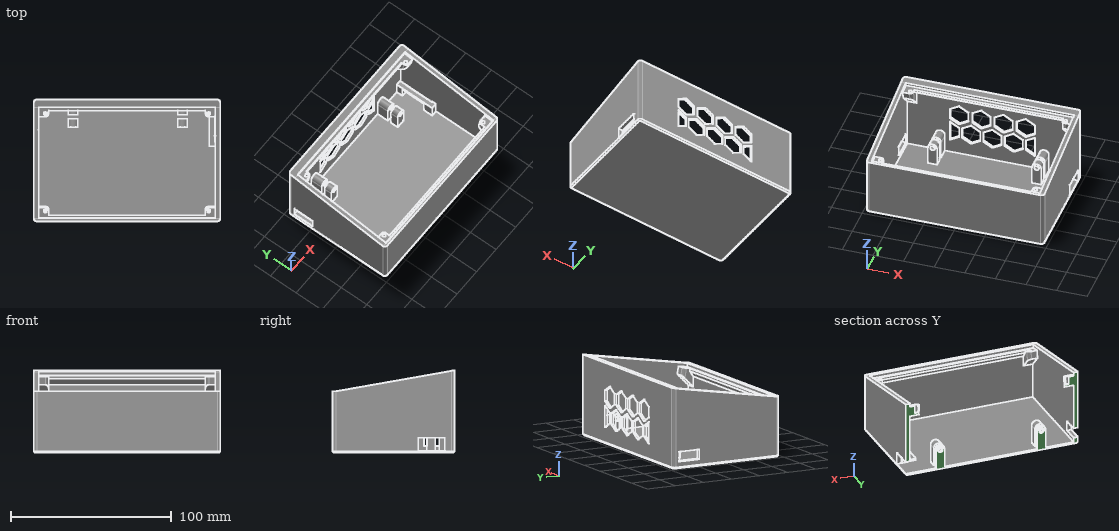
import cadquery as cq
import math


tilt = math.radians(10)
lid_length = 70
lid_depth = 2.2
recess_overcut = 1
front_rim = 2
back_rim = 5
side_wall = 3
end_wall = 1.5
lid_width = 110

width = lid_width + 2 * side_wall
depth = front_rim + lid_length * math.cos(tilt) + back_rim
back_height = 51.52
back_rim_rise = 1
front_height = back_height - back_rim_rise - lid_length * math.sin(tilt)
corner_radius = 2
base_chamfer = 1
floor = 1.5
back_wall_y = depth - end_wall

ledge_reach = 2
ledge_thickness = 1.75
boss_reach = 6.25
boss_thickness = 5
boss_radius = 2
screw_diameter = 2
screw_depth = 5
screw_inset = 4.25

post_width = 6
post_pin_diameter = 3
post_pin_rise = 12
post_pin_height = floor + post_pin_rise
post_centers = (24.5, 92.5)
post_front_offset = 17.2
post_gap_start_offset = 9.6
post_gap_end_offset = 11.9

holder_width = 3.9
holder_height = 9.4
holder_front_offset = 29.2
holder_opening_start_offset = 6
holder_opening_end_offset = 22.5
holder_bar_thickness = 1.5
board_slot_width = 0.5
board_slot_front_offset = 26.2

switch_start_offset = 4.5
switch_end_offset = 18.9
switch_bottom = 4.4
switch_top = 10.7

hex_across_flats = 12
vent_start_x = 30.75
vent_width = 55.5
cells_across = 4
upper_pitch = (vent_width - hex_across_flats) / (cells_across - 1)
lower_pitch = vent_width / cells_across
upper_row_z = 30.6
lower_row_z = 17.4


def block(x_start, x_end, y_start, y_end, z_start, z_end):
    size = (x_end - x_start, y_end - y_start, z_end - z_start)
    return cq.Workplane("XY").box(*size, centered=False).translate((x_start, y_start, z_start))


def seat_point(along, below):
    """(y, z) of a point measured along the slope from the lid's front edge and square below it."""
    y = front_rim + along * math.cos(tilt) + below * math.sin(tilt)
    z = front_height + along * math.sin(tilt) - below * math.cos(tilt)
    return y, z


def side_prism(points, x_start, x_end):
    """Prism along X with an outline given as (y, z) points."""
    prism = cq.Workplane("YZ").polyline(points).close().extrude(x_end - x_start)
    return prism.translate((x_start, 0, 0))


def make_outer_body():
    outline = [
        (0, 0),
        (depth, 0),
        (depth, back_height),
        (depth - back_rim, back_height - back_rim_rise),
        (front_rim, front_height),
        (0, front_height),
    ]
    body = block(0, width, 0, depth, 0, back_height)
    body = body.edges("|Z").fillet(corner_radius)
    body = body.faces("<Z").edges().chamfer(base_chamfer)
    return body.intersect(side_prism(outline, 0, width))


def make_lid_recess():
    corners = [
        (0, -recess_overcut),
        (lid_length, -recess_overcut),
        (lid_length, lid_depth),
        (0, lid_depth),
    ]
    return side_prism([seat_point(*corner) for corner in corners], side_wall, width - side_wall)


def seat_height(y):
    """Height of the lid seat's floor at a given y."""
    return front_height + (y - front_rim) * math.tan(tilt) - lid_depth / math.cos(tilt)


def make_cavity():
    outline = [
        (end_wall, floor),
        (back_wall_y, floor),
        (back_wall_y, seat_height(back_wall_y)),
        (end_wall, seat_height(end_wall)),
    ]
    return side_prism(outline, side_wall, width - side_wall)


def make_ledge(at_back):
    """Upright lip under the lid, with an underside at 45 degrees to the lid."""
    if at_back:
        lip_y, root_y = depth - back_rim - ledge_reach, depth - end_wall / 2
        underside_slope = math.tan(math.pi / 4 - tilt)
    else:
        lip_y, root_y = front_rim + ledge_reach, end_wall / 2
        underside_slope = math.tan(math.pi / 4 + tilt)
    lip_bottom = seat_height(lip_y) - ledge_thickness
    outline = [
        (root_y, seat_height(root_y)),
        (lip_y, seat_height(lip_y)),
        (lip_y, lip_bottom),
        (root_y, lip_bottom - abs(root_y - lip_y) * underside_slope),
    ]
    return side_prism(outline, side_wall, width - side_wall).cut(make_lid_recess())


def make_support(at_back, x_start, x_end):
    """Screw support square to the lid, with a 45 degree underside running down to the end wall."""
    edge = lid_length - boss_reach if at_back else boss_reach
    root_y = depth - end_wall / 2 if at_back else end_wall / 2
    tip_y, tip_z = seat_point(edge, lid_depth + boss_thickness)
    outline = [
        (root_y, seat_height(root_y)),
        seat_point(edge, lid_depth),
        (tip_y, tip_z),
        (root_y, tip_z - abs(tip_y - root_y)),
    ]
    return side_prism(outline, x_start, x_end)


def make_boss(at_back, at_right):
    x_start, x_end = side_wall / 2, side_wall + boss_reach
    if at_right:
        x_start, x_end = width - x_end, width - x_start
    boss = make_support(at_back, x_start, x_end)
    seat_normal = cq.Vector(0, -math.sin(tilt), math.cos(tilt))
    inner_side = ">X" if not at_right else "<X"
    upright = boss.faces(inner_side).edges(cq.selectors.ParallelDirSelector(seat_normal))
    return upright.fillet(boss_radius)


def make_screw_hole(at_back, at_right):
    along = lid_length - screw_inset if at_back else screw_inset
    x = width - side_wall - screw_inset if at_right else side_wall + screw_inset
    y, z = seat_point(along, lid_depth)
    into_boss = cq.Vector(0, math.sin(tilt), -math.cos(tilt))
    hole = cq.Solid.makeCylinder(screw_diameter / 2, screw_depth, cq.Vector(x, y, z), into_boss)
    return cq.Workplane(hole)


def make_hinge_post(x):
    front_y = depth - post_front_offset
    length = back_wall_y - front_y
    radius = post_width / 2
    post = block(x - radius, x + radius, front_y, back_wall_y, floor, post_pin_height)
    plane = cq.Workplane("XZ", origin=(x, back_wall_y, post_pin_height))
    post = post.union(plane.circle(radius).extrude(length))
    post = post.cut(plane.circle(post_pin_diameter / 2).extrude(length))
    gap = block(
        x - post_width, x + post_width,
        depth - post_gap_end_offset, depth - post_gap_start_offset,
        floor, post_pin_height + post_width,
    )
    return post.cut(gap)


def make_holder():
    inner_x = width - side_wall
    top = floor + holder_height
    holder = block(inner_x - holder_width, inner_x, depth - holder_front_offset, back_wall_y, floor, top)
    opening = block(
        inner_x - holder_width, inner_x,
        depth - holder_opening_end_offset, depth - holder_opening_start_offset,
        floor, top - holder_bar_thickness,
    )
    board_slot = block(
        inner_x - board_slot_width, inner_x,
        depth - board_slot_front_offset, back_wall_y,
        floor, top,
    )
    return holder.cut(opening).cut(board_slot)


def make_vent():
    """Two staggered rows of hexagons with upright sides, clipped to the vent's width."""
    hex_diameter = hex_across_flats / math.cos(math.pi / 6)
    upper_start_x = vent_start_x + hex_across_flats / 2
    upper = [(upper_start_x + i * upper_pitch, upper_row_z) for i in range(cells_across)]
    lower = [(vent_start_x + i * lower_pitch, lower_row_z) for i in range(cells_across + 1)]
    cell = cq.Workplane("XZ").polygon(6, hex_diameter).extrude(end_wall)
    cell = cell.rotate((0, 0, 0), (0, 1, 0), 30)
    vent = cq.Workplane("XY")
    for x, z in upper + lower:
        vent = vent.add(cell.translate((x, depth, z)))
    window = block(vent_start_x, vent_start_x + vent_width, back_wall_y, depth, floor, back_height)
    return vent.combine().intersect(window)


def make_switch_opening():
    y_start, y_end = depth - switch_end_offset, depth - switch_start_offset
    return block(0, side_wall, y_start, y_end, switch_bottom, switch_top)


def make_socket_opening():
    """Opening through the +X wall, framed by the legs and bar of the socket holder."""
    y_start = depth - holder_opening_end_offset
    y_end = depth - holder_opening_start_offset
    top = floor + holder_height - holder_bar_thickness
    return block(width - side_wall, width, y_start, y_end, floor, top)


result = make_outer_body().cut(make_cavity()).cut(make_lid_recess())
for at_back in (False, True):
    result = result.union(make_ledge(at_back))
    for at_right in (False, True):
        result = result.union(make_boss(at_back, at_right))
        result = result.cut(make_screw_hole(at_back, at_right))
for post_x in post_centers:
    result = result.union(make_hinge_post(post_x))
result = result.union(make_holder())
result = result.cut(make_vent())
result = result.cut(make_switch_opening()).cut(make_socket_opening())